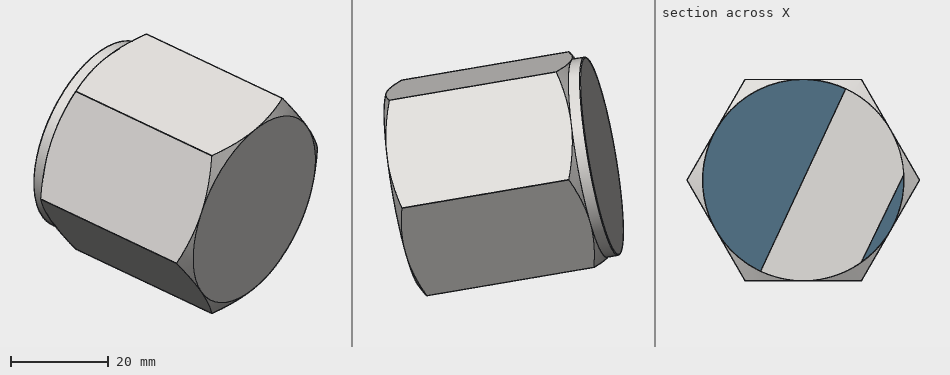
import cadquery as cq
import math

total_length = 41.1
across_flats = 41.2
corner_diameter = 47.5
collar_length = 2.5
collar_diameter = 41.15
collar_edge_chamfer = 0.2
corner_chamfer_angle = 30.0

hex_length = total_length - collar_length
sharp_corner_diameter = across_flats / math.cos(math.radians(30))
flat_radius = across_flats / 2
corner_radius = corner_diameter / 2
chamfer_length = (corner_radius - flat_radius) * math.tan(math.radians(corner_chamfer_angle))


def hex_body():
    """Hexagonal prism with corners pointing along Y and flats facing Z."""
    return (
        cq.Workplane("YZ", origin=(collar_length, 0, 0))
        .polygon(6, sharp_corner_diameter)
        .extrude(hex_length)
    )


def turned_envelope():
    """Cylinder with conical ends that trims and chamfers the hexagon's corners."""
    return (
        cq.Workplane("XY")
        .moveTo(collar_length, 0)
        .lineTo(collar_length, flat_radius)
        .lineTo(collar_length + chamfer_length, corner_radius)
        .lineTo(total_length - chamfer_length, corner_radius)
        .lineTo(total_length, flat_radius)
        .lineTo(total_length, 0)
        .close()
        .revolve(360, (0, 0, 0), (1, 0, 0))
    )


def collar():
    """Round collar on the -X end with a fine chamfer on its outer edge."""
    return (
        cq.Workplane("YZ")
        .circle(collar_diameter / 2)
        .extrude(collar_length)
        .faces("<X")
        .chamfer(collar_edge_chamfer)
    )


result = hex_body().intersect(turned_envelope()).union(collar())